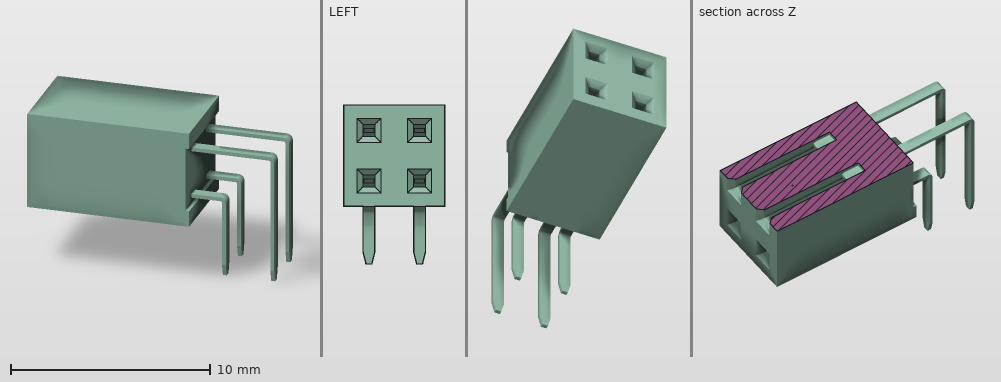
import cadquery as cq


pitch = 2.54
body_length = 8.5
body_size = 2 * pitch
recess_depth = 0.2
recess_height = 3.4

socket_size = 0.6
lead_in = 0.3
socket_depth = 6.0

pin_width = socket_size
pin_thickness = 0.2
bend_radius = 0.3
upper_pin_end_x = 12.67
pin_drop = 2.9
tail_taper_length = 0.6
tail_tip_width = 0.3
contact_length = 1.0
contact_tip_width = 0.5
contact_taper_length = 0.2

row_z = pitch / 2
column_ys = (-pitch / 2, pitch / 2)
body_bottom = -body_size / 2
pin_bottom = body_bottom - pin_drop
pin_start_x = socket_depth - contact_length
rows = (
    (row_z, upper_pin_end_x),
    (-row_z, upper_pin_end_x - pitch),
)


def make_body():
    """Square block with a shallow recess running across its rear face."""
    block = cq.Workplane("XY").box(body_length, body_size, body_size, centered=(False, True, True))
    recess = (
        cq.Workplane("XY")
        .box(recess_depth, body_size, recess_height, centered=(False, True, True))
        .translate((body_length - recess_depth, 0, 0))
    )
    return block.cut(recess)


def make_socket(y, z):
    """Square blind hole with a 45 degree funnel at the front face."""
    hole = (
        cq.Workplane("YZ")
        .center(y, z)
        .rect(socket_size, socket_size)
        .extrude(socket_depth)
    )
    mouth_size = socket_size + 2 * lead_in
    funnel = (
        cq.Workplane("YZ")
        .center(y, z)
        .rect(mouth_size, mouth_size)
        .workplane(offset=lead_in)
        .rect(socket_size, socket_size)
        .loft(ruled=True)
    )
    return hole.union(funnel)


def make_pin(y, z, end_x):
    """Flat strip running along X, bent down to -Z, narrowed at both ends."""
    top = z + pin_thickness / 2
    bottom = z - pin_thickness / 2
    inner_x = end_x - pin_thickness
    inner_radius = bend_radius - pin_thickness
    bend_x = end_x - bend_radius
    bend_z = top - bend_radius
    strip = (
        cq.Workplane("XZ", origin=(0, y + pin_width / 2, 0))
        .moveTo(pin_start_x, top)
        .lineTo(bend_x, top)
        .radiusArc((end_x, bend_z), bend_radius)
        .lineTo(end_x, pin_bottom)
        .lineTo(inner_x, pin_bottom)
        .lineTo(inner_x, bend_z)
        .radiusArc((bend_x, bottom), -inner_radius)
        .lineTo(pin_start_x, bottom)
        .close()
        .extrude(pin_width)
    )
    half_width = pin_width / 2
    for side in (-1, 1):
        edge_y = y + side * half_width
        tail_corner = (
            cq.Workplane("YZ", origin=(inner_x, 0, 0))
            .moveTo(edge_y, pin_bottom)
            .lineTo(y + side * tail_tip_width / 2, pin_bottom)
            .lineTo(edge_y, pin_bottom + tail_taper_length)
            .close()
            .extrude(pin_thickness)
        )
        contact_corner = (
            cq.Workplane("XY", origin=(0, 0, bottom))
            .moveTo(pin_start_x, edge_y)
            .lineTo(pin_start_x, y + side * contact_tip_width / 2)
            .lineTo(pin_start_x + contact_taper_length, edge_y)
            .close()
            .extrude(pin_thickness)
        )
        strip = strip.cut(tail_corner).cut(contact_corner)
    return strip


result = make_body()
for row_height, pin_end_x in rows:
    for column_y in column_ys:
        result = result.cut(make_socket(column_y, row_height))
        result = result.union(make_pin(column_y, row_height, pin_end_x))